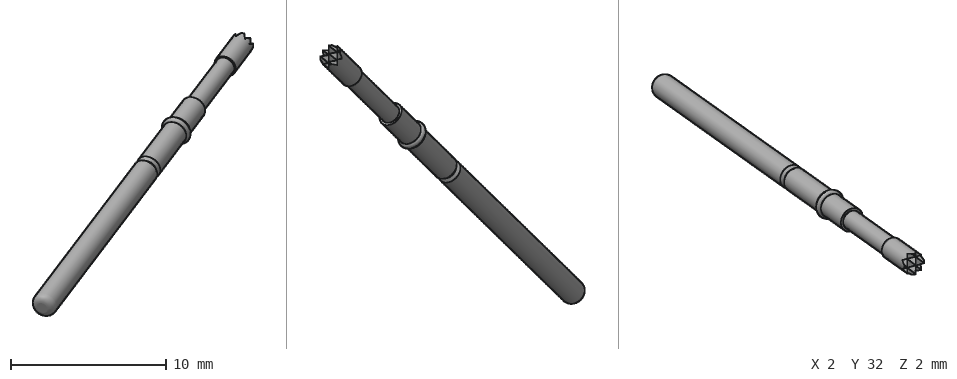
import cadquery as cq
import math

total_length = 32.0

head_radius = 0.75
head_length = 3.0
stem_radius = 0.65
plunger_length = 8.0

barrel_radius = 0.825
barrel_end_fillet = 0.45
collar_radius = 1.0
collar_half_width = 0.25
collar_to_tip = 10.75

groove_floor_radius = 0.65
groove_half_width = 0.24
groove_to_tip = 15.36

tooth_pitch = 0.63
tooth_angle = 60.0
groove_steps = (-1.5, -0.5, 0.5, 1.5)
tooth_depth = tooth_pitch / 2 / math.tan(math.radians(tooth_angle / 2))

barrel_length = total_length - plunger_length
stem_top = total_length - head_length
collar_y = total_length - collar_to_tip
groove_y = total_length - groove_to_tip


def make_turned_body():
    """Revolve the half-section (X is the radius) about the Y axis."""
    fillet_mid = barrel_end_fillet * (1 - math.sqrt(0.5))
    section = (
        cq.Workplane("XY")
        .lineTo(barrel_radius - barrel_end_fillet, 0)
        .threePointArc((barrel_radius - fillet_mid, fillet_mid), (barrel_radius, barrel_end_fillet))
        .lineTo(barrel_radius, groove_y - groove_half_width)
        .lineTo(groove_floor_radius, groove_y)
        .lineTo(barrel_radius, groove_y + groove_half_width)
        .lineTo(barrel_radius, collar_y - collar_half_width)
        .threePointArc((collar_radius, collar_y), (barrel_radius, collar_y + collar_half_width))
        .lineTo(barrel_radius, barrel_length)
        .lineTo(stem_radius, barrel_length)
        .lineTo(stem_radius, stem_top)
        .lineTo(head_radius, stem_top)
        .lineTo(head_radius, total_length)
        .lineTo(0, total_length)
        .close()
    )
    return section.revolve(360, (0, 0, 0), (0, 1, 0))


def make_tooth_groove(offset):
    """V-groove running along Z, its root at X = offset and its mouth at the head tip."""
    return (
        cq.Workplane("XY")
        .moveTo(offset - tooth_pitch / 2, total_length)
        .lineTo(offset, total_length - tooth_depth)
        .lineTo(offset + tooth_pitch / 2, total_length)
        .close()
        .extrude(head_radius, both=True)
    )


def cut_crown_teeth(body):
    """Cut the same row of grooves along Z and along X."""
    for step in groove_steps:
        groove = make_tooth_groove(step * tooth_pitch)
        body = body.cut(groove)
        body = body.cut(groove.rotate((0, 0, 0), (0, 1, 0), 90))
    return body


result = cut_crown_teeth(make_turned_body())